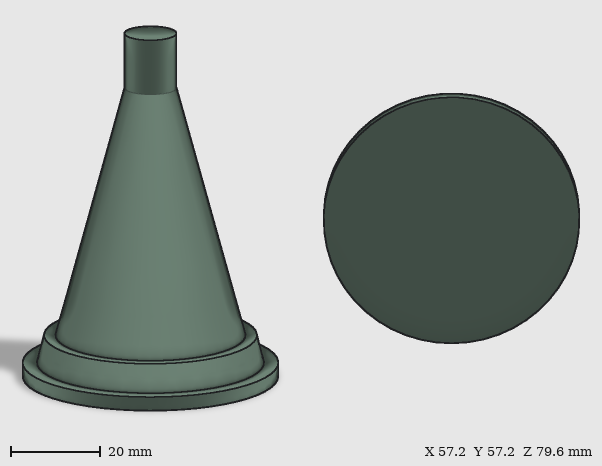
import cadquery as cq

total_height = 79.6
flange_radius = 28.6

flange_height = 3.2
collar_height = 6.4
stem_height = 12.6

collar_bottom_radius = 25.4
collar_top_radius = 23.8
cone_bottom_radius = 21.25
stem_radius = 5.8

collar_top = flange_height + collar_height
stem_bottom = total_height - stem_height

profile = [
    (0, 0),
    (flange_radius, 0),
    (flange_radius, flange_height),
    (collar_bottom_radius, flange_height),
    (collar_top_radius, collar_top),
    (cone_bottom_radius, collar_top),
    (stem_radius, stem_bottom),
    (stem_radius, total_height),
    (0, total_height),
]

result = cq.Workplane("XZ").polyline(profile).close().revolve(360, (0, 0, 0), (0, 1, 0))